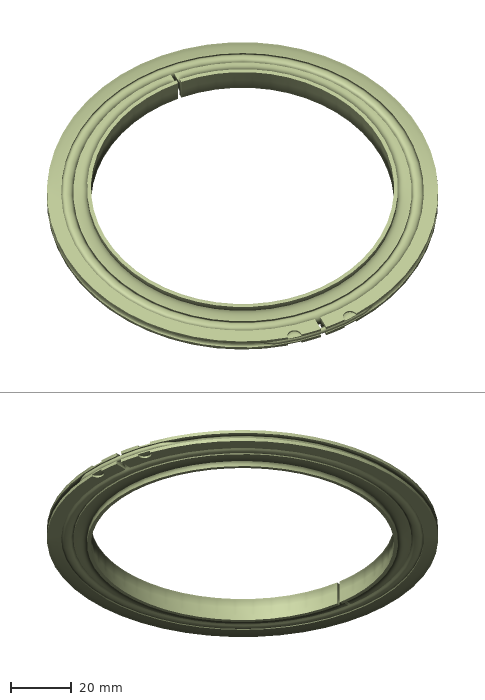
import cadquery as cq
import math

collar_inner_radius = 49.9
collar_outer_radius = 51.2
collar_height = 8.0
inner_flange_radius = 55.7
inner_slit_width = 1.2

seal_centre_radius = 57.7
seal_section_radius = 2.5

outer_ring_bore_radius = 59.7
outer_ring_radius = 64.38
flange_thickness = 4.1
outer_gap_width = 1.9

wire_section_radius = 0.9
wire_centre_radius = 62.3
wire_protrusion = 0.1
raised_centre_radius = outer_ring_radius + wire_protrusion - wire_section_radius
raised_half_angle = 14
ramp_end_angle = 20
groove_width = 1.9
groove_floor_radius = wire_centre_radius - wire_section_radius

notch_radius = 2.3
notch_centre_radius = 64.2
notch_angle = 9
notch_depth = 0.6


def polar(radius, angle):
    """Point in the XY plane at an angle in degrees from +X."""
    turn = math.radians(angle)
    return cq.Vector(radius * math.cos(turn), radius * math.sin(turn), 0)


def make_annulus(inner_radius, outer_radius, height):
    """Flat ring centred on the XY plane."""
    half_height = height / 2
    return (
        cq.Workplane("XY")
        .workplane(offset=-half_height)
        .circle(outer_radius)
        .circle(inner_radius)
        .extrude(height)
    )


def make_seal():
    return cq.Workplane(obj=cq.Solid.makeTorus(seal_centre_radius, seal_section_radius))


def make_slit(width, direction):
    """Radial slot cutter running from the axis along +X (direction 1) or -X (direction -1)."""
    return (
        cq.Workplane("XY")
        .box(outer_ring_radius, width, collar_height)
        .translate((direction * outer_ring_radius / 2, 0, 0))
    )


def make_inner_ring():
    collar = make_annulus(collar_inner_radius, collar_outer_radius, collar_height)
    flange = make_annulus(collar_inner_radius, inner_flange_radius, flange_thickness)
    return collar.union(flange).cut(make_seal()).cut(make_slit(inner_slit_width, -1))


def make_finger_notches():
    """Cutters for the notches, mirrored across the gap and across the mid-plane."""
    notch_centres = [polar(notch_centre_radius, side * notch_angle) for side in (-1, 1)]
    upper = (
        cq.Workplane("XY")
        .workplane(offset=flange_thickness / 2 - notch_depth)
        .pushPoints(notch_centres)
        .circle(notch_radius)
        .extrude(notch_depth)
    )
    return upper.union(upper.mirror("XY"))


def make_outer_ring():
    body = make_annulus(outer_ring_bore_radius, outer_ring_radius, flange_thickness)
    groove = make_annulus(groove_floor_radius, outer_ring_radius, groove_width)
    ring = body.cut(groove).cut(make_seal()).cut(make_finger_notches())
    return ring.cut(make_slit(outer_gap_width, 1))


def make_wire():
    """Closed loop of round wire with its lifted stretch centred on +X."""
    raised_start = polar(raised_centre_radius, -raised_half_angle)
    raised_end = polar(raised_centre_radius, raised_half_angle)
    low_start = polar(wire_centre_radius, ramp_end_angle)
    low_end = polar(wire_centre_radius, -ramp_end_angle)
    raised_arc = cq.Edge.makeThreePointArc(raised_start, polar(raised_centre_radius, 0), raised_end)
    ramp_down = cq.Edge.makeSpline(
        [raised_end, low_start],
        tangents=[polar(1, raised_half_angle + 90), polar(1, ramp_end_angle + 90)],
    )
    low_arc = cq.Edge.makeThreePointArc(low_start, polar(wire_centre_radius, 180), low_end)
    ramp_up = cq.Edge.makeSpline(
        [low_end, raised_start],
        tangents=[polar(1, 90 - ramp_end_angle), polar(1, 90 - raised_half_angle)],
    )
    path = cq.Wire.assembleEdges([raised_arc, ramp_down, low_arc, ramp_up])
    section_plane = cq.Plane(origin=raised_start, xDir=(0, 0, 1), normal=polar(1, 90 - raised_half_angle))
    return cq.Workplane(section_plane).circle(wire_section_radius).sweep(cq.Workplane(obj=path))


inner_ring = make_inner_ring()
seal = make_seal()
outer_ring = make_outer_ring()
wire = make_wire()

bodies = [inner_ring, seal, outer_ring, wire]
result = cq.Compound.makeCompound([body.solids().val() for body in bodies])